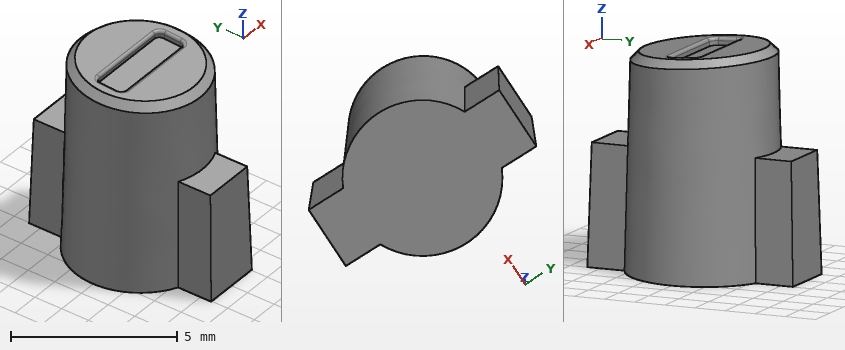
import cadquery as cq
import math

height = 7.01
base_radius = 2.41
draft_angle = 1.5

top_slope = 3.8
top_chamfer = 0.25
top_face_radius = 1.98

wing_span = 6.83
wing_width = 2.07
wing_height = 3.835

slot_length = 3.205
slot_width = 1.01
slot_corner_radius = 0.21
slot_depth = 0.25
slot_rim_radius = 0.105

top_center_z = height - top_face_radius * math.tan(math.radians(top_slope))
top_plane = cq.Plane(origin=(0, 0, top_center_z)).rotated((top_slope, 0, 0))


def make_body():
    """Tapered round post, cut by the sloping top plane and chamfered."""
    blank_height = height + base_radius
    post = cq.Workplane("XY").circle(base_radius).extrude(blank_height, taper=draft_angle)
    cutter = cq.Workplane(top_plane).rect(4 * base_radius, 4 * base_radius).extrude(blank_height)
    return post.cut(cutter).faces(">Z").edges().chamfer(top_chamfer)


def make_wings():
    """One tapered block through the post, forming both wings."""
    return cq.Workplane("XY").rect(wing_width, wing_span).extrude(wing_height, taper=draft_angle)


def make_slot():
    """Slot cutter with rounded corners, square to the top face."""
    return (
        cq.Workplane(top_plane)
        .rect(slot_length, slot_width)
        .extrude(-slot_depth)
        .edges(cq.selectors.ParallelDirSelector(top_plane.zDir))
        .fillet(slot_corner_radius)
    )


def round_slot_rim(part):
    """Round the edges where the slot meets the top face."""
    mouth = part.faces(cq.selectors.DirectionMinMaxSelector(top_plane.zDir)).val().innerWires()[0]
    return part.newObject(mouth.Edges()).fillet(slot_rim_radius)


slotted_body = make_body().cut(make_slot())
result = round_slot_rim(slotted_body).union(make_wings())